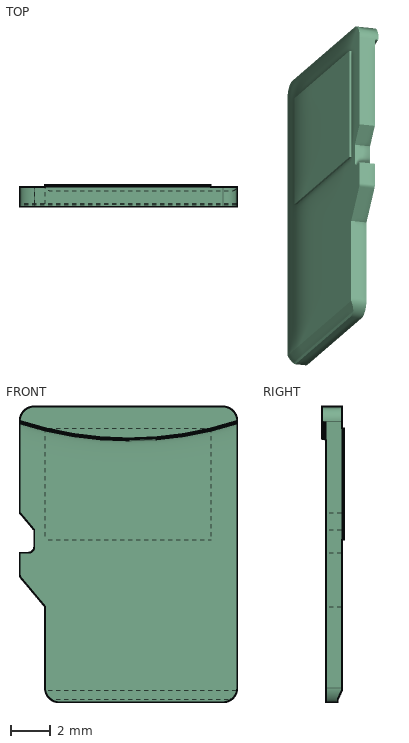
import cadquery as cq
import math

width = 11.05
height = 15.03
corner_radius = 0.75
half_width = width / 2

lip_height = 0.20
body_thickness = 0.82
label_height = 0.10
front_face_y = 0.0
lip_face_y = front_face_y - lip_height
back_face_y = front_face_y + body_thickness

slope_angle = math.radians(50)
step_width = 1.28
step_slope_bottom = 4.87
step_slope_height = step_width * math.tan(slope_angle)
step_fillet_radius = 0.25

notch_depth = 0.73
notch_floor_z = 7.61
notch_top_z = 9.63
notch_slope_height = notch_depth * math.tan(slope_angle)
notch_fillet_radius = 0.27

lip_edge_drop = 0.80
lip_middle_drop = 1.68
lip_fillet_radius = 0.06

label_width = 8.42
label_length = 5.65
label_left_margin = 1.27
label_top_drop = 1.12

relief_depth = 0.21
relief_step_height = 0.17
relief_ramp_height = 0.45

left_x = -half_width
right_x = half_width
step_x = left_x + step_width
notch_x = left_x + notch_depth


def round_edge(solid, x, z, radius):
    """Round the Y-direction edge that passes through (x, z)."""
    tolerance = 0.01
    box = cq.selectors.BoxSelector(
        (x - tolerance, -width, z - tolerance),
        (x + tolerance, width, z + tolerance),
        boundingbox=True,
    )
    return solid.edges(box).fillet(radius)


def make_card():
    """Card outline at full lip thickness, with its rounded corners."""
    outline = (
        cq.Workplane("XZ", origin=(0, lip_face_y, 0))
        .moveTo(step_x, 0)
        .lineTo(right_x, 0)
        .lineTo(right_x, height)
        .lineTo(left_x, height)
        .lineTo(left_x, notch_top_z)
        .lineTo(notch_x, notch_top_z - notch_slope_height)
        .lineTo(notch_x, notch_floor_z)
        .lineTo(left_x, notch_floor_z)
        .lineTo(left_x, step_slope_bottom + step_slope_height)
        .lineTo(step_x, step_slope_bottom)
        .close()
    )
    card = outline.extrude(-(lip_height + body_thickness))
    rounded_edges = [
        (step_x, 0, corner_radius),
        (right_x, 0, corner_radius),
        (right_x, height, corner_radius),
        (left_x, height, corner_radius),
        (notch_x, notch_floor_z, notch_fillet_radius),
        (left_x, step_slope_bottom + step_slope_height, step_fillet_radius),
    ]
    for x, z, radius in rounded_edges:
        card = round_edge(card, x, z, radius)
    return card


def make_front_recess():
    """Tool that lowers the front face below the arc, with both arc edges rounded."""
    sag = lip_middle_drop - lip_edge_drop
    arc_radius = (half_width**2 + sag**2) / (2 * sag)
    arc_center_z = height - lip_middle_drop + arc_radius
    r = lip_fillet_radius
    mid_offset = r * math.sin(math.radians(45))
    crest_radius = arc_radius - r
    root_radius = arc_radius + r
    far_radius = arc_radius + 2 * height
    crest_mid = (lip_face_y + r - mid_offset, -(crest_radius + mid_offset))
    root_mid = (front_face_y - r + mid_offset, -(root_radius - mid_offset))
    section = (
        cq.Workplane("YZ", origin=(0, 0, arc_center_z))
        .moveTo(lip_face_y, -crest_radius)
        .threePointArc(crest_mid, (lip_face_y + r, -arc_radius))
        .lineTo(front_face_y - r, -arc_radius)
        .threePointArc(root_mid, (front_face_y, -root_radius))
        .lineTo(front_face_y, -far_radius)
        .lineTo(lip_face_y, -far_radius)
        .close()
    )
    return section.revolve(360, (0, 0, 0), (1, 0, 0))


def make_bottom_relief():
    """Tool that thins the bottom edge from the back."""
    section = (
        cq.Workplane("YZ", origin=(left_x, 0, 0))
        .moveTo(back_face_y, 0)
        .lineTo(back_face_y - relief_depth, 0)
        .lineTo(back_face_y - relief_depth, relief_step_height)
        .lineTo(back_face_y, relief_step_height + relief_ramp_height)
        .close()
    )
    return section.extrude(width)


def make_label():
    """Raised rectangular pad on the back."""
    top_z = height - label_top_drop
    bottom_z = top_z - label_length
    pad = cq.Workplane("XY").box(label_width, label_height, label_length, centered=False)
    return pad.translate((left_x + label_left_margin, back_face_y, bottom_z))


result = make_card().cut(make_front_recess()).cut(make_bottom_relief()).union(make_label())